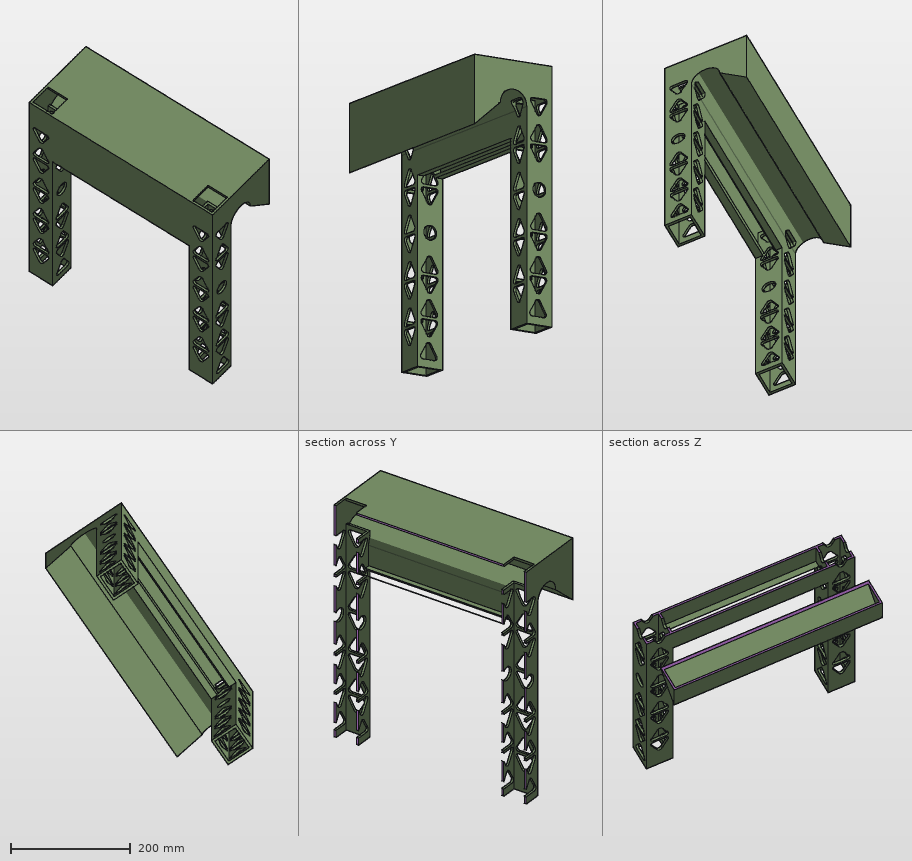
import cadquery as cq
import math

width = 390.0
depth = 153.0
height = 450.0

wall = 4.5

leg_width = 50.0
leg_depth = leg_width
leg_height = 400.0
leg_bore = leg_width - 2 * wall
leg_x = (width - leg_width) / 2
leg_y = leg_depth / 2

head_height = 120.0
head_bottom = height - head_height

channel_radius = 26.0
roof_drop = 50.0
channel_y = leg_depth + channel_radius
channel_z = height - roof_drop - channel_radius

triangle_side = 40.0
triangle_round = 5.0
triangle_rise = triangle_side * math.sqrt(3) / 2
half_rib = 2.48

rib_pitch = 80.0
top_rib = 393.8
paired_front_ribs = [top_rib - rib_pitch * step for step in range(1, 5)]

low_side_rib = 161.0
low_side_pitch = 75.0
paired_side_ribs = [top_rib - rib_pitch, low_side_rib]
last_side_rib = low_side_rib - low_side_pitch
foot_rib = 11.5

side_window_y = leg_y + 1.0
last_side_window_y = leg_y + 2.0
foot_window_y = leg_y + 2.5

cross_hole_z = top_rib - 2 * rib_pitch
cross_hole_diameter = 25.0


def head_block(inset):
    """The head outline moved inwards by inset on every face, as a solid across X."""
    back = depth - inset
    top = height - inset
    bottom = head_bottom + inset
    radius = channel_radius + inset

    slope_start_y = channel_y + channel_radius
    gradient = (head_bottom - channel_z) / (depth - slope_start_y)
    slope_lift = inset * math.hypot(1, gradient)

    def slope_z(y):
        return channel_z + gradient * (y - slope_start_y) + slope_lift

    foot_distance = slope_z(channel_y) - channel_z
    along = math.sqrt(radius**2 * (1 + gradient**2) - foot_distance**2)
    meet_y = channel_y + (along - gradient * foot_distance) / (1 + gradient**2)

    return (
        cq.Workplane("YZ")
        .moveTo(inset, top)
        .lineTo(back, top)
        .lineTo(back, slope_z(back))
        .lineTo(meet_y, slope_z(meet_y))
        .threePointArc((channel_y, channel_z + radius), (channel_y - radius, channel_z))
        .lineTo(channel_y - radius, bottom)
        .lineTo(inset, bottom)
        .close()
        .extrude(width / 2 - inset, both=True)
    )


def column(x, x_size, y_start, y_size, z_start, z_end):
    """Upright rectangular prism centred on x."""
    center = (x, y_start + y_size / 2, (z_start + z_end) / 2)
    return cq.Workplane("XY").box(x_size, y_size, z_end - z_start).translate(center)


def window(plane, across, rib, direction, reach):
    """Triangular cutter above (direction 1) or below (direction -1) a rib, reaching both ways."""
    base = rib + direction * half_rib
    half_side = triangle_side / 2
    prism = (
        cq.Workplane(plane)
        .moveTo(across - half_side, base)
        .lineTo(across + half_side, base)
        .lineTo(across, base + direction * triangle_rise)
        .close()
        .extrude(reach, both=True)
    )
    along_cut = "|Y" if plane == "XZ" else "|X"
    return prism.edges(along_cut).fillet(triangle_round)


def cut_windows(body, plane, across, reach, lower_ribs, upper_ribs):
    for rib in lower_ribs:
        body = body.cut(window(plane, across, rib, -1, reach))
    for rib in upper_ribs:
        body = body.cut(window(plane, across, rib, 1, reach))
    return body


result = head_block(0).cut(head_block(wall))
for x in (-leg_x, leg_x):
    result = result.union(column(x, leg_width, 0, leg_depth, 0, leg_height))
for x in (-leg_x, leg_x):
    result = result.cut(column(x, leg_bore, wall, leg_bore, 0, height))

for x in (-leg_x, leg_x):
    result = cut_windows(result, "XZ", x, channel_y, [top_rib] + paired_front_ribs, paired_front_ribs)

side_reach = width / 2
ribs_above_windows = [top_rib] + paired_side_ribs
result = cut_windows(result, "YZ", side_window_y, side_reach, ribs_above_windows, paired_side_ribs)
result = cut_windows(result, "YZ", last_side_window_y, side_reach, [last_side_rib], [last_side_rib])
result = cut_windows(result, "YZ", foot_window_y, side_reach, [], [foot_rib])

cross_hole = cq.Workplane("YZ").center(leg_y, cross_hole_z).circle(cross_hole_diameter / 2)
result = result.cut(cross_hole.extrude(side_reach, both=True))